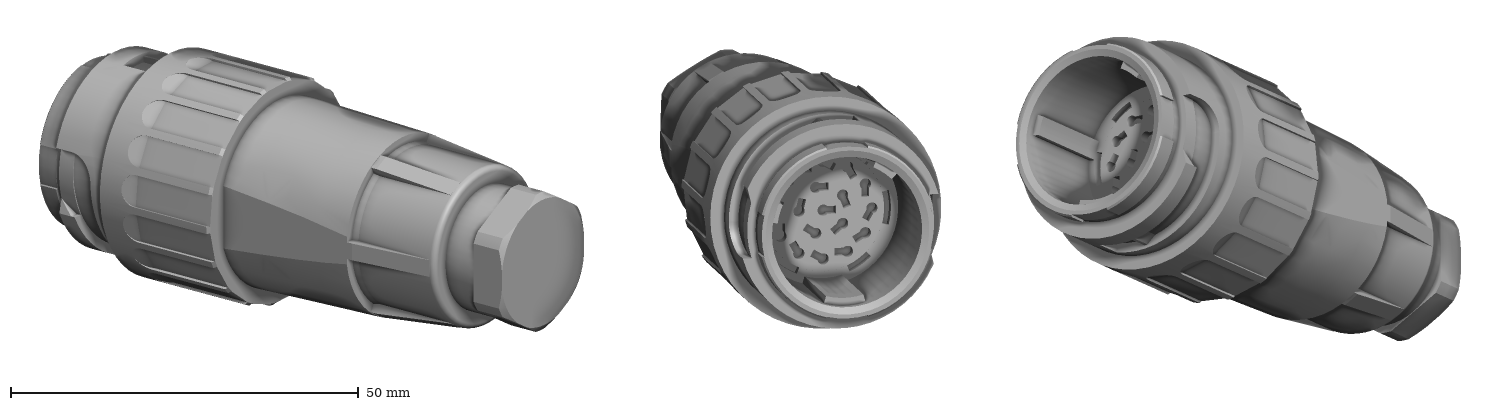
import cadquery as cq
import math


SLEEVE_RIM_END = 3.1
RING_FRONT = 4.6
GRIP_FRONT = 14.65
HOUSING_FRONT = 34.5
CAP_FRONT = 57.1
GLAND_FRONT = 72.0
HEX_FRONT = 77.2
OVERALL_LENGTH = 82.35

RIM_RADIUS = 12.9
RIM_CHAMFER = 0.25
RIM_RECESS_RADIUS = 12.6
RIM_RECESS_WIDTH = 6.2
SLEEVE_RADIUS = 12.5
MOUTH_RADIUS = 12.0
BORE_RADIUS = 11.0
MOUTH_DEPTH = 0.3
BORE_DEPTH = 16.5
KEY_FRONT = 1.9
KEY_INNER_RADIUS = 10.0
KEY_OUTER_RADIUS = 11.9
KEY_SECTORS = [(-106, -74), (156, 172), (46, 65)]
NOTCH_RADIUS = 10.0
NOTCH_DEPTH = 1.2
NOTCH_SECTORS = [(-15, 15), (165, 195), (45, 67), (113, 135), (-67, -45), (-135, -113)]

INSERT_RADIUS = 9.0
CONTACT_DEPTH = 1.65
CONTACT_RADIUS = 0.8
TAIL_LENGTH = 1.9
TAIL_WIDTH = 1.15
OUTER_CONTACTS = 12
OUTER_CIRCLE_RADIUS = 7.2
OUTER_TAIL_TILT = 30.0
INNER_CONTACTS = 5
INNER_CIRCLE_RADIUS = 3.5
INNER_TAIL_TILT = 15.0

COLLAR_RADIUS = 15.0
GRIP_RADIUS = 34.0 / 2
GRIP_CHAMFER = 0.4
FLUTE_COUNT = 18
FLUTE_OFFSET = 6.2
FLUTE_WIDTH = 4.8
FLUTE_FLOOR = 16.5
FLUTE_RAMP_START = 20.9

TRACK_FLOOR = 13.6
TRACK_WIDTH = 4.2
TRACK_START_CENTER = 9.2
TRACK_END_CENTER = 10.5
TRACK_SWEEP = 104.0
DETENT_RADIUS = 14.5
DETENT_RAMP_START = 76.0
DETENT_CREST = 82.5
DETENT_END = 84.5

ENTRY_FLOOR = 13.75
ENTRY_TOP = 4.1
ENTRY_BOTTOM = -6.1
ENTRY_ROUND = 3.95
RAMP_TOP = -3.95
ENTRY_OVERLAP = 0.4

HOUSING_FRONT_RADIUS = 14.3
HOUSING_REAR_RADIUS = 13.7
HOUSING_FLAT_DISTANCE = 13.5

CAP_RADIUS = 12.1
CAP_SHOULDER_RADIUS = 12.35
CAP_SHOULDER_END = 58.05
CAP_ROUND = 0.8
RIB_COUNT = 6
RIB_WIDTH = 2.55
RIB_RADIUS = 13.5
RIB_END = 71.1

NECK_RADIUS = 9.5
HEX_ACROSS_FLATS = 19.1
HEX_CORNER_RADIUS = 10.5
HEX_CHAMFER_LENGTH = 0.6
HEX_CHAMFER_DEPTH = 0.9

CLEAR = 4.1


def turned(points):
    """Solid of revolution about X from (x, radius) points."""
    return cq.Workplane("XY").polyline(points).close().revolve(360, (0, 0, 0), (1, 0, 0))


def rod(x_start, x_end, radius):
    """Cylinder on the X axis."""
    return turned([(x_start, 0), (x_end, 0), (x_end, radius), (x_start, radius)])


def mating_plane(x):
    """Plane facing the mating end: local x is -Y, local y is Z."""
    return cq.Workplane(cq.Plane((x, 0, 0), (0, -1, 0), (-1, 0, 0)))


def polar(radius, angle):
    return (radius * math.cos(math.radians(angle)), radius * math.sin(math.radians(angle)))


def sector(x_start, x_end, inner_radius, outer_radius, start, end):
    """Ring sector between two angles, measured from -Y towards +Z."""
    middle = (start + end) / 2
    return (
        mating_plane(x_end)
        .moveTo(*polar(inner_radius, start))
        .lineTo(*polar(outer_radius, start))
        .threePointArc(polar(outer_radius, middle), polar(outer_radius, end))
        .lineTo(*polar(inner_radius, end))
        .threePointArc(polar(inner_radius, middle), polar(inner_radius, start))
        .close()
        .extrude(x_end - x_start)
    )


def make_sleeve():
    """Mating sleeve with rim recesses, bore keys and notches in the bore floor."""
    sleeve = turned([
        (0, MOUTH_RADIUS),
        (0, RIM_RADIUS - RIM_CHAMFER),
        (RIM_CHAMFER, RIM_RADIUS),
        (SLEEVE_RIM_END, RIM_RADIUS),
        (SLEEVE_RIM_END, SLEEVE_RADIUS),
        (HOUSING_FRONT, SLEEVE_RADIUS),
        (HOUSING_FRONT, INSERT_RADIUS),
        (BORE_DEPTH, INSERT_RADIUS),
        (BORE_DEPTH, BORE_RADIUS),
        (MOUTH_DEPTH, BORE_RADIUS),
    ])
    half_angle = math.degrees(math.asin(RIM_RECESS_WIDTH / 2 / RIM_RADIUS))
    for middle in (0, 90, 180, 270):
        start, end = middle - half_angle, middle + half_angle
        sleeve = sleeve.cut(
            sector(0, SLEEVE_RIM_END, RIM_RECESS_RADIUS, RIM_RADIUS + CLEAR, start, end)
        )
    for start, end in KEY_SECTORS:
        sleeve = sleeve.union(
            sector(KEY_FRONT, BORE_DEPTH, KEY_INNER_RADIUS, KEY_OUTER_RADIUS, start, end)
        )
    for start, end in NOTCH_SECTORS:
        sleeve = sleeve.cut(
            sector(BORE_DEPTH, BORE_DEPTH + NOTCH_DEPTH, INSERT_RADIUS, NOTCH_RADIUS, start, end)
        )
    return sleeve


def contact_cavity(center, tail_direction):
    """Round contact hole with a straight tail slot."""
    tail = (
        mating_plane(BORE_DEPTH + CONTACT_DEPTH)
        .center(*center)
        .transformed(rotate=(0, 0, tail_direction))
        .rect(TAIL_LENGTH, TAIL_WIDTH, centered=(False, True))
        .extrude(CONTACT_DEPTH)
    )
    hole = mating_plane(BORE_DEPTH + CONTACT_DEPTH).center(*center).circle(CONTACT_RADIUS)
    return hole.extrude(CONTACT_DEPTH).union(tail)


def make_insert():
    """Contact carrier with one central cavity and two circles of cavities."""
    insert = rod(BORE_DEPTH, HOUSING_FRONT, INSERT_RADIUS).cut(contact_cavity((0, 0), 0))
    circles = [
        (OUTER_CONTACTS, OUTER_CIRCLE_RADIUS, OUTER_TAIL_TILT),
        (INNER_CONTACTS, INNER_CIRCLE_RADIUS, INNER_TAIL_TILT),
    ]
    for count, radius, tilt in circles:
        for index in range(count):
            angle = 180 + index * 360 / count
            insert = insert.cut(contact_cavity(polar(radius, angle), angle - 90 - tilt))
    return insert


def flute():
    """Cutter for one grip flute on the -Y side: rounded front end that ramps up to the surface."""
    half_width = FLUTE_WIDTH / 2
    tip = FLUTE_RAMP_START - half_width
    plan = (
        cq.Workplane("XZ", origin=(0, -FLUTE_FLOOR + CLEAR, 0))
        .moveTo(HOUSING_FRONT, -half_width)
        .lineTo(FLUTE_RAMP_START, -half_width)
        .threePointArc((tip, 0), (FLUTE_RAMP_START, half_width))
        .lineTo(HOUSING_FRONT, half_width)
        .close()
        .extrude(2 * CLEAR)
    )
    side = (
        cq.Workplane("XY")
        .polyline([
            (HOUSING_FRONT, -FLUTE_FLOOR),
            (FLUTE_RAMP_START, -FLUTE_FLOOR),
            (tip, -GRIP_RADIUS),
            (tip, -GRIP_RADIUS - CLEAR),
            (HOUSING_FRONT, -GRIP_RADIUS - CLEAR),
        ])
        .close()
        .extrude(FLUTE_WIDTH, both=True)
    )
    return plan.intersect(side)


def track_mouth():
    """Entry from the front face of the collar to the channel, with a round floor."""
    rear = TRACK_START_CENTER - TRACK_WIDTH / 2 + ENTRY_OVERLAP
    ramp_height = RAMP_TOP - ENTRY_BOTTOM
    outline = (
        cq.Workplane("XZ")
        .polyline([
            (RING_FRONT, ENTRY_TOP),
            (rear, ENTRY_TOP),
            (rear, ENTRY_BOTTOM),
            (RING_FRONT + ramp_height, ENTRY_BOTTOM),
            (RING_FRONT, RAMP_TOP),
        ])
        .close()
        .extrude(COLLAR_RADIUS + CLEAR)
    )
    return outline.cut(rod(0, GRIP_FRONT, ENTRY_FLOOR))


def mouth_ramp():
    """Flat lead-in that rises from the mouth floor to the collar surface."""
    floor_y = -math.sqrt(ENTRY_FLOOR**2 - RAMP_TOP**2)
    surface_y = -math.sqrt(COLLAR_RADIUS**2 - ENTRY_BOTTOM**2)
    return (
        cq.Workplane("YZ", origin=(RING_FRONT, 0, 0))
        .polyline([
            (floor_y, RAMP_TOP),
            (surface_y, ENTRY_BOTTOM),
            (-COLLAR_RADIUS - CLEAR, ENTRY_BOTTOM),
            (-COLLAR_RADIUS - CLEAR, RAMP_TOP),
        ])
        .close()
        .extrude(RAMP_TOP - ENTRY_BOTTOM)
    )


def track_start():
    """Rounded corner where the mouth turns into the channel."""
    front = TRACK_START_CENTER - TRACK_WIDTH / 2
    rear = TRACK_START_CENTER + TRACK_WIDTH / 2
    corner = (
        cq.Workplane("XZ")
        .moveTo(front, 0)
        .lineTo(front, ENTRY_TOP)
        .lineTo(rear - ENTRY_ROUND, ENTRY_TOP)
        .radiusArc((rear, ENTRY_TOP - ENTRY_ROUND), ENTRY_ROUND)
        .lineTo(rear, 0)
        .close()
        .extrude(COLLAR_RADIUS + CLEAR)
    )
    return corner.cut(rod(0, GRIP_FRONT, TRACK_FLOOR))


def detent():
    """Bump across the channel floor shortly before its end."""
    return (
        mating_plane(GRIP_FRONT)
        .polyline([
            polar(SLEEVE_RADIUS, -DETENT_RAMP_START),
            polar(TRACK_FLOOR, -DETENT_RAMP_START),
            polar(DETENT_RADIUS, -DETENT_CREST),
            polar(DETENT_RADIUS, -DETENT_END),
            polar(SLEEVE_RADIUS, -DETENT_END),
        ])
        .close()
        .extrude(GRIP_FRONT - RING_FRONT)
    )


def track_channel():
    """Helical channel from -Y round to just past -Z."""
    drift = TRACK_END_CENTER - TRACK_START_CENTER
    pitch = drift * 360 / TRACK_SWEEP
    helix = cq.Wire.makeHelix(pitch, drift, COLLAR_RADIUS)
    channel = (
        cq.Workplane("XZ")
        .center(COLLAR_RADIUS, 0)
        .rect(2 * (COLLAR_RADIUS - SLEEVE_RADIUS), TRACK_WIDTH)
        .sweep(cq.Workplane(obj=helix), isFrenet=True)
    )
    channel = (
        channel.rotate((0, 0, 0), (0, 1, 0), 90)
        .rotate((0, 0, 0), (1, 0, 0), -90)
        .translate((TRACK_START_CENTER, 0, 0))
    )
    return channel.cut(rod(0, GRIP_FRONT, TRACK_FLOOR)).cut(detent())


def make_coupling_ring():
    """Fluted grip and collar with two opposite bayonet tracks."""
    ring = turned([
        (RING_FRONT, SLEEVE_RADIUS),
        (RING_FRONT, COLLAR_RADIUS),
        (GRIP_FRONT, COLLAR_RADIUS),
        (GRIP_FRONT, GRIP_RADIUS),
        (HOUSING_FRONT - GRIP_CHAMFER, GRIP_RADIUS),
        (HOUSING_FRONT, GRIP_RADIUS - GRIP_CHAMFER),
        (HOUSING_FRONT, SLEEVE_RADIUS),
    ])
    cutter = flute()
    for index in range(FLUTE_COUNT):
        angle = FLUTE_OFFSET + index * 360 / FLUTE_COUNT
        ring = ring.cut(cutter.rotate((0, 0, 0), (1, 0, 0), -angle))
    for part in (track_mouth(), mouth_ramp(), track_start(), track_channel()):
        for turn in (0, 180):
            ring = ring.cut(part.rotate((0, 0, 0), (1, 0, 0), turn))
    return ring


def make_housing():
    """Slightly conical body with a flat on each of the -Y and +Y sides."""
    housing = turned([
        (HOUSING_FRONT, 0),
        (HOUSING_FRONT, HOUSING_FRONT_RADIUS),
        (CAP_FRONT, HOUSING_REAR_RADIUS),
        (CAP_FRONT, 0),
    ])
    between_flats = cq.Workplane("YZ", origin=(HOUSING_FRONT, 0, 0)).rect(
        2 * HOUSING_FLAT_DISTANCE, 2 * HOUSING_FRONT_RADIUS + CLEAR
    )
    return housing.intersect(between_flats.extrude(CAP_FRONT - HOUSING_FRONT))


def make_cap():
    """Cap with tapering ribs that die out at its rear edge."""
    cap = turned([
        (CAP_FRONT, 0),
        (CAP_FRONT, CAP_SHOULDER_RADIUS),
        (CAP_SHOULDER_END, CAP_RADIUS),
        (GLAND_FRONT, CAP_RADIUS),
        (GLAND_FRONT, 0),
    ])
    cap = cap.faces(">X").edges().fillet(CAP_ROUND)
    rib = (
        cq.Workplane("XY")
        .polyline([
            (CAP_FRONT, 0),
            (CAP_FRONT, RIB_RADIUS),
            (CAP_SHOULDER_END, RIB_RADIUS),
            (RIB_END, CAP_RADIUS),
            (RIB_END, 0),
        ])
        .close()
        .extrude(RIB_WIDTH / 2, both=True)
    )
    for index in range(RIB_COUNT):
        cap = cap.union(rib.rotate((0, 0, 0), (1, 0, 0), index * 360 / RIB_COUNT))
    return cap


def make_gland():
    """Cable gland: round neck and hexagonal head with turned-down corners."""
    corner_diameter = HEX_ACROSS_FLATS / math.cos(math.radians(30))
    hexagon = (
        cq.Workplane("YZ", origin=(HEX_FRONT, 0, 0))
        .transformed(rotate=(0, 0, 30))
        .polygon(6, corner_diameter)
        .extrude(OVERALL_LENGTH - HEX_FRONT)
    )
    turned_envelope = turned([
        (HEX_FRONT, 0),
        (HEX_FRONT, HEX_CORNER_RADIUS),
        (OVERALL_LENGTH - HEX_CHAMFER_LENGTH, HEX_CORNER_RADIUS),
        (OVERALL_LENGTH, HEX_CORNER_RADIUS - HEX_CHAMFER_DEPTH),
        (OVERALL_LENGTH, 0),
    ])
    return rod(GLAND_FRONT, HEX_FRONT, NECK_RADIUS).union(hexagon.intersect(turned_envelope))


result = cq.Compound.makeCompound([
    make_sleeve().val(),
    make_insert().val(),
    make_coupling_ring().val(),
    make_housing().val(),
    make_cap().val(),
    make_gland().val(),
])